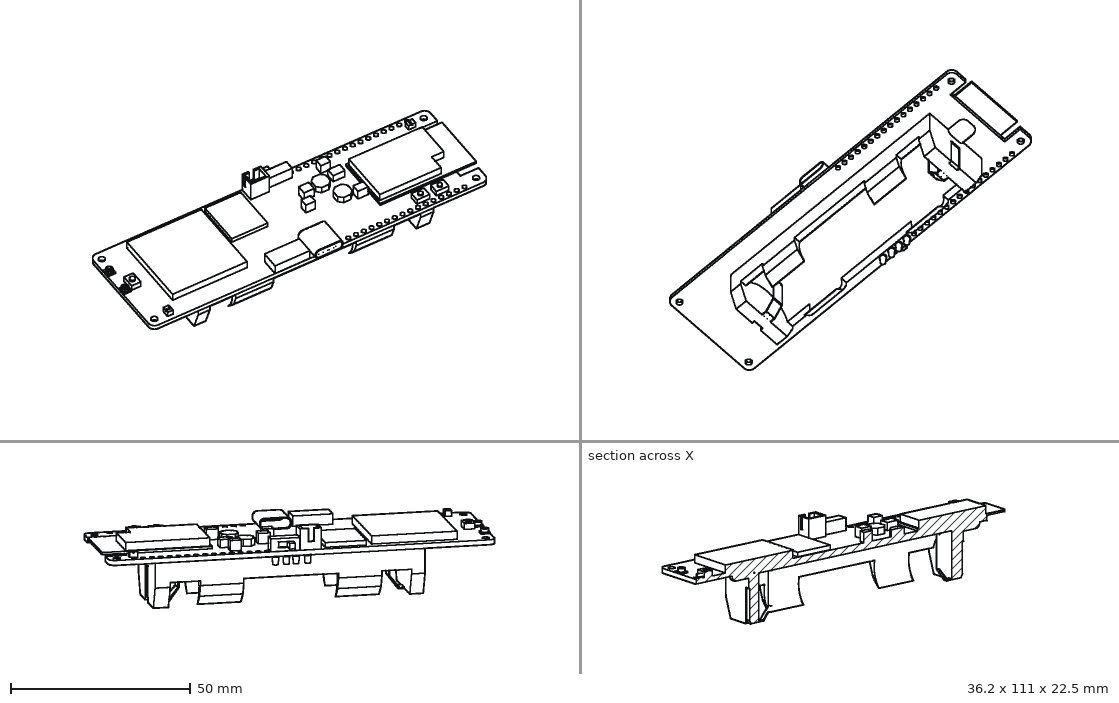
import cadquery as cq
import math


BOARD_WIDTH = 33.0
BOARD_FRONT = -55.5
BOARD_BACK = 55.1
MODULE_BACK = 55.5
BOARD_THICKNESS = 1.4
BOARD_CORNER_RADIUS = 2.0
NOTCH_WIDTH = 21.8
NOTCH_FRONT = 49.1
MOUNT_HOLE_DIAMETER = 1.9
MOUNT_HOLE_X = 13.9
MOUNT_HOLE_YS = (-53.2, 52.4)
PIN_HOLE_DIAMETER = 1.3
PIN_HOLE_X = 15.2
PIN_HOLE_FIRST_Y = 47.7
PIN_HOLE_SPAN = 38.1
PIN_HOLE_COUNT = 16
PIN_HOLE_PITCH = PIN_HOLE_SPAN / (PIN_HOLE_COUNT - 1)
BOARD_BOTTOM = -BOARD_THICKNESS

HOLDER_HEIGHT = 15.0
HOLDER_HALF_WIDTH = 10.4
HOLDER_FOOT_HALF_WIDTH = 8.2
HOLDER_FRONT = -36.6
HOLDER_BACK = 40.6
HOLDER_WALL_BOTTOM = -8.8
HOLDER_TAPER_TOP = -10.1
HOLDER_BOTTOM = BOARD_BOTTOM - HOLDER_HEIGHT
FRONT_END_THICKNESS = 3.9
BACK_END_THICKNESS = 4.3
BAY_FRONT = HOLDER_FRONT + FRONT_END_THICKNESS
BAY_BACK = HOLDER_BACK - BACK_END_THICKNESS
CELL_RADIUS = 8.5
CELL_AXIS_Z = -10.8
CLIP_LENGTH = 12.4
CLIP_FRONTS = (-24.3, 15.2)
CLIP_CURVE_TOP = -13.4
CLIP_CURVE_BULGE = 0.1
CLIP_TIP_GAP = 0.1
CONTACT_WIDTH = 3.3
CONTACT_CENTRE_X = 0.1
CONTACT_LEFT = CONTACT_CENTRE_X - CONTACT_WIDTH / 2
CONTACT_LEG_GAP = 4.5
CONTACT_SLANT_RUN = 2.9


def box(x0, x1, y0, y1, z0, z1):
    """Rectangular block between two opposite corners."""
    return cq.Workplane("XY").box(x1 - x0, y1 - y0, z1 - z0, centered=False).translate((x0, y0, z0))


def block(x, y, width, length, height, base=0.0):
    """Rectangular block centred on (x, y) and standing on the level base."""
    return cq.Workplane("XY").box(width, length, height, centered=(True, True, False)).translate((x, y, base))


def cylinder(x, y, diameter, height, base=0.0):
    """Upright cylinder standing on the level base."""
    return cq.Workplane("XY", origin=(x, y, base)).circle(diameter / 2).extrude(height)


def extrude_along_y(outline, y0, y1):
    """Solid from y0 to y1 whose XZ section is drawn by the function outline."""
    return outline(cq.Workplane("XZ", origin=(0, y1, 0))).close().extrude(y1 - y0)


def make_board():
    length = BOARD_BACK - BOARD_FRONT
    middle_y = (BOARD_BACK + BOARD_FRONT) / 2
    board = block(0, middle_y, BOARD_WIDTH, length, BOARD_THICKNESS, BOARD_BOTTOM)
    board = board.edges("|Z").fillet(BOARD_CORNER_RADIUS)
    half_notch = NOTCH_WIDTH / 2
    board = board.cut(box(-half_notch, half_notch, NOTCH_FRONT, BOARD_BACK, BOARD_BOTTOM, 0))
    mount_points = [(side * MOUNT_HOLE_X, y) for side in (-1, 1) for y in MOUNT_HOLE_YS]
    pin_points = [
        (side * PIN_HOLE_X, PIN_HOLE_FIRST_Y - i * PIN_HOLE_PITCH)
        for side in (-1, 1)
        for i in range(PIN_HOLE_COUNT)
    ]
    drill = cq.Workplane("XY", origin=(0, 0, BOARD_BOTTOM))
    board = board.cut(drill.pushPoints(mount_points).circle(MOUNT_HOLE_DIAMETER / 2).extrude(BOARD_THICKNESS))
    return board.cut(drill.pushPoints(pin_points).circle(PIN_HOLE_DIAMETER / 2).extrude(BOARD_THICKNESS))


def make_radio_module():
    """Thin module that overhangs the notch, with a stepped metal shield on it."""
    module_left = -9.2
    module_right = 9.0
    module_front = 24.0
    module_thickness = 0.7
    front_margin = 0.5
    shield_left = -8.5
    shield_top = 3.0
    step_x = 2.9
    step_y = 44.6
    shield_right = 7.9
    shield_back = 48.6
    module = box(module_left, module_right, module_front, MODULE_BACK, 0, module_thickness)
    shield = box(shield_left, shield_right, module_front + front_margin, shield_back, 0, shield_top)
    shield = shield.cut(box(step_x, shield_right, step_y, shield_back, module_thickness, shield_top))
    return module.union(shield)


def make_plain_parts():
    """Components that are simple blocks: (x, y, width, length) of each, grouped by height."""
    tall_height = 3.0
    tall_blocks = [
        (2.3, 21.7, 2.5, 3.3),
        (-11.7, 18.1, 2.5, 3.1),
        (-5.2, 8.5, 2.9, 3.3),
        (-0.7, 6.3, 2.5, 3.1),
        (13.7, -9.4, 5.5, 11.4),
    ]
    medium_height = 2.3
    medium_blocks = [
        (-7.2, 19.7, 2.8, 3.9),
        (-1.8, -32.8, 24.2, 24.4),
    ]
    low_height = 1.3
    low_blocks = [(-7.5, -13.0, 14.2, 11.8)]
    groups = [(tall_height, tall_blocks), (medium_height, medium_blocks), (low_height, low_blocks)]
    return [block(*placement, height) for height, placements in groups for placement in placements]


def make_inductor(x, y):
    size = 4.8
    corner = 1.2
    height = 2.0
    return block(x, y, size, size, height).edges("|Z").chamfer(corner)


def make_button(x, y, long_axis_x, cap_diameter):
    long_side = 4.1
    short_side = 3.0
    body_height = 1.7
    cap_rise = 0.4
    width, length = (long_side, short_side) if long_axis_x else (short_side, long_side)
    body = block(x, y, width, length, body_height)
    return body.union(cylinder(x, y, cap_diameter, cap_rise, body_height))


def make_led(x, y, long_axis_x):
    """Small block with a shallow groove across its top."""
    long_side = 2.3
    short_side = 1.8
    height = 1.5
    groove_width = 0.3
    groove_depth = 0.3
    led = block(x, y, short_side, long_side, height)
    led = led.cut(block(x, y, short_side, groove_width, groove_depth, height - groove_depth))
    turn = 90 if long_axis_x else 0
    return led.rotate((x, y, 0), (x, y, 1), turn)


def make_antenna_socket(x):
    """Coaxial socket: square base, outer ring and thin centre pin."""
    y = -54.2
    base_size = 2.5
    base_height = 0.3
    ring_height = 1.3
    ring_outer = 2.1
    ring_inner = 1.7
    pin_diameter = 0.3
    base = block(x, y, base_size, base_size, base_height)
    ring = cylinder(x, y, ring_outer, ring_height).cut(cylinder(x, y, ring_inner, ring_height, base_height))
    return base.union(ring).union(cylinder(x, y, pin_diameter, ring_height))


def make_slide_switch():
    left = -16.3
    lever_tip = -18.4
    slot_depth = 0.9
    slot_bottom = 1.0
    slot_top = 2.7
    lever_front = 2.4
    lever_back = 4.0
    slot_back = 6.7
    right = -13.2
    front = 0.5
    back = 8.9
    height = 3.7
    body = box(left, right, front, back, 0, height)
    body = body.cut(box(left, left + slot_depth, lever_front, slot_back, slot_bottom, slot_top))
    lever = box(lever_tip, left + slot_depth, lever_front, lever_back, slot_bottom, slot_top)
    return body.union(lever)


def make_battery_socket():
    """Open-topped socket, slotted in its front and left walls, with a split ledge inside."""
    left = -16.4
    right = -11.9
    front = -5.5
    back = 0.5
    top = 6.1
    side_wall = 0.5
    front_wall = 0.5
    back_wall = 0.9
    cavity_floor = 0.7
    slot_bottom = 2.3
    front_slot_left = -15.5
    ledge_edge = -14.9
    side_slot_front = -3.5
    side_slot_back = -1.9
    socket = box(left, right, front, back, 0, top)
    cavity = box(
        left + side_wall, right - side_wall, front + front_wall, back - back_wall, cavity_floor, top
    )
    front_slot = box(front_slot_left, ledge_edge, front, front + front_wall, slot_bottom, top)
    side_slot = box(left, left + side_wall, side_slot_front, side_slot_back, slot_bottom, top)
    ledge = box(left + side_wall, ledge_edge, front + front_wall, back - back_wall, 0, slot_bottom)
    ledge = ledge.cut(box(left, ledge_edge, side_slot_front, side_slot_back, cavity_floor, slot_bottom))
    return socket.cut(cavity).union(ledge).cut(front_slot).cut(side_slot)


def make_usb_socket():
    """Flattened tube lying along X and reaching past the board edge."""
    length = 9.0
    width = 9.1
    height = 3.3
    wall = 0.3
    inner_end = 8.8
    centre_y = 1.8
    outer_radius = 1.4
    start = cq.Workplane("YZ", origin=(inner_end, centre_y, height / 2))
    shell = start.rect(width, height).extrude(length).edges("|X").fillet(outer_radius)
    bore = start.rect(width - 2 * wall, height - 2 * wall).extrude(length)
    return shell.cut(bore.edges("|X").fillet(outer_radius - wall))


def make_solder_pin(y):
    """Soldered pin end: a thin collar under the board and a tapered, blunt-tipped pin."""
    x = -14.9
    collar_diameter = 2.1
    collar_height = 0.3
    root_diameter = 1.9
    tip_diameter = 1.5
    tip_round = 0.2
    pin_length = 2.7
    collar = cylinder(x, y, collar_diameter, collar_height, BOARD_BOTTOM - collar_height)
    root = cq.Workplane("XY", origin=(x, y, BOARD_BOTTOM)).circle(root_diameter / 2)
    pin = root.workplane(offset=-pin_length).circle(tip_diameter / 2).loft()
    return collar.union(pin.faces("<Z").edges().fillet(tip_round))


def taper_half_width(z):
    """Half width of the holder outline at a level below the taper start."""
    fraction = (HOLDER_TAPER_TOP - z) / (HOLDER_TAPER_TOP - HOLDER_BOTTOM)
    return HOLDER_HALF_WIDTH - fraction * (HOLDER_HALF_WIDTH - HOLDER_FOOT_HALF_WIDTH)


def end_outline(plane):
    return plane.polyline(
        [
            (-HOLDER_HALF_WIDTH, BOARD_BOTTOM),
            (HOLDER_HALF_WIDTH, BOARD_BOTTOM),
            (HOLDER_HALF_WIDTH, HOLDER_TAPER_TOP),
            (HOLDER_FOOT_HALF_WIDTH, HOLDER_BOTTOM),
            (-HOLDER_FOOT_HALF_WIDTH, HOLDER_BOTTOM),
            (-HOLDER_HALF_WIDTH, HOLDER_TAPER_TOP),
        ]
    )


def clip_outline(plane):
    """Taper that turns inwards along a slightly bulging arc to a thin tip at the cell bore."""
    tip_x = math.sqrt(CELL_RADIUS**2 - (HOLDER_BOTTOM - CELL_AXIS_Z) ** 2) + CLIP_TIP_GAP
    curve_x = taper_half_width(CLIP_CURVE_TOP)
    return (
        plane.moveTo(0, BOARD_BOTTOM)
        .lineTo(HOLDER_HALF_WIDTH, BOARD_BOTTOM)
        .lineTo(HOLDER_HALF_WIDTH, HOLDER_TAPER_TOP)
        .lineTo(curve_x, CLIP_CURVE_TOP)
        .sagittaArc((tip_x, HOLDER_BOTTOM), CLIP_CURVE_BULGE)
        .lineTo(0, HOLDER_BOTTOM)
    )


def make_contact(bay_y, outward):
    """Spring strip: a vertical leg, a slanted leg and a foot that meets the end block."""
    thickness = 0.3
    slant_top = -12.5
    leg_y = bay_y - outward * CONTACT_LEG_GAP
    foot_y = leg_y + outward * CONTACT_SLANT_RUN
    step = outward * thickness
    foot_top = HOLDER_BOTTOM + thickness
    leg_top = CELL_AXIS_Z + CELL_RADIUS
    outline = [
        (leg_y, leg_top),
        (leg_y, slant_top),
        (foot_y, HOLDER_BOTTOM),
        (bay_y, HOLDER_BOTTOM),
        (bay_y, foot_top),
        (foot_y + step, foot_top),
        (leg_y + step, slant_top),
        (leg_y + step, leg_top),
    ]
    strip = cq.Workplane("YZ", origin=(CONTACT_LEFT, 0, 0))
    return strip.polyline(outline).close().extrude(CONTACT_WIDTH)


def make_contact_groove(outer_y, outward):
    """Cutter for the shallow groove in an end block, deepening along a slope at its foot."""
    depth = 0.3
    lip_depth = 0.9
    groove_top = -6.0
    lip_top = -15.3
    inner_y = outer_y - outward * depth
    lip_y = outer_y - outward * lip_depth
    outline = [
        (outer_y, groove_top),
        (inner_y, groove_top),
        (inner_y, lip_top),
        (lip_y, HOLDER_BOTTOM),
        (outer_y, HOLDER_BOTTOM),
    ]
    cutter = cq.Workplane("YZ", origin=(CONTACT_LEFT, 0, 0))
    return cutter.polyline(outline).close().extrude(CONTACT_WIDTH)


def make_terminal(outer_y, outward):
    """Rounded lug under the board that runs into the end block."""
    reach = 5.9
    width = 5.9
    depth = 1.7
    corner_radius = 1.9
    bottom_radius = 1.5
    buried_length = 2.8
    length = reach + buried_length
    y = outer_y + outward * (reach - length / 2)
    lug = block(CONTACT_CENTRE_X, y, width, length, depth, BOARD_BOTTOM - depth)
    return lug.edges("|Z").fillet(corner_radius).faces("<Z").edges().fillet(bottom_radius)


def make_holder():
    half_width = HOLDER_HALF_WIDTH
    body = box(-half_width, half_width, HOLDER_FRONT, HOLDER_BACK, HOLDER_WALL_BOTTOM, BOARD_BOTTOM)
    for front in CLIP_FRONTS:
        half = extrude_along_y(clip_outline, front, front + CLIP_LENGTH)
        body = body.union(half).union(half.mirror("YZ"))
    bay = cq.Workplane("XZ", origin=(0, BAY_BACK, CELL_AXIS_Z)).circle(CELL_RADIUS)
    body = body.cut(bay.extrude(BAY_BACK - BAY_FRONT))
    ends = extrude_along_y(end_outline, HOLDER_FRONT, BAY_FRONT)
    ends = ends.union(extrude_along_y(end_outline, BAY_BACK, HOLDER_BACK))
    body = body.union(ends)
    for outer_y, bay_y, outward in ((HOLDER_FRONT, BAY_FRONT, -1), (HOLDER_BACK, BAY_BACK, 1)):
        body = body.union(make_contact(bay_y, outward))
        body = body.cut(make_contact_groove(outer_y, outward))
        body = body.union(make_terminal(outer_y, outward))
    return body


SMALL_CAP_DIAMETER = 1.4
LARGE_CAP_DIAMETER = 1.7
SOLDER_PIN_YS = (7.2, 4.1, 1.3, -2.0)

parts = [
    make_radio_module(),
    make_inductor(0.3, 17.0),
    make_inductor(-6.2, 13.9),
    make_button(12.5, 41.3, False, SMALL_CAP_DIAMETER),
    make_button(12.5, 35.0, False, SMALL_CAP_DIAMETER),
    make_button(-1.1, -51.1, True, LARGE_CAP_DIAMETER),
    make_led(-13.0, 47.5, False),
    make_led(13.9, -48.6, True),
    make_antenna_socket(-8.3),
    make_antenna_socket(0.0),
    make_slide_switch(),
    make_battery_socket(),
    make_usb_socket(),
    make_holder(),
]
parts += make_plain_parts()
parts += [make_solder_pin(y) for y in SOLDER_PIN_YS]

result = make_board()
for part in parts:
    result = result.union(part)